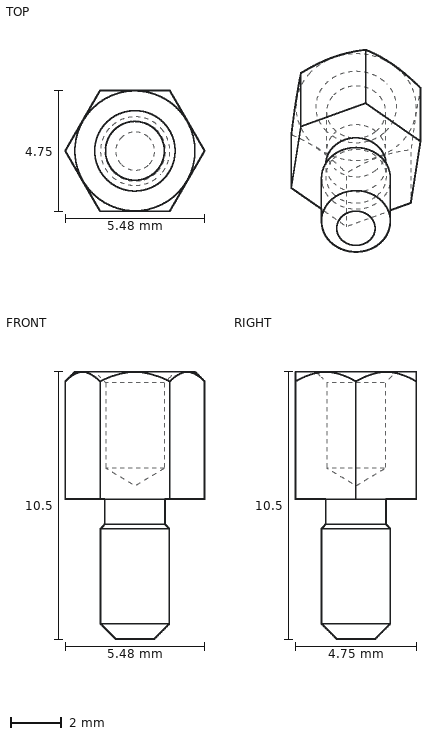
import cadquery as cq
import math

total_length = 10.5
hex_across_flats = 4.75
hex_height = 5.01

stud_diameter = 2.71
stud_tip_chamfer = 0.6
neck_diameter = 2.37
neck_length = 0.98
neck_taper_length = 0.19

top_face_diameter = 4.71
hole_diameter = 2.31
hole_depth = 3.78
drill_point_angle = 118.0
countersink_diameter = 3.16

shoulder_z = total_length - hex_height
hex_across_corners = hex_across_flats / math.cos(math.radians(30))


def revolve_profile(points):
    """Revolve a closed (radius, height) outline about the Z axis."""
    return cq.Workplane("XZ").polyline(points).close().revolve(360, (0, 0), (0, 1))


def make_hex_body():
    """Hexagon with corners on the X axis and a 45 degree conical top chamfer."""
    prism = (
        cq.Workplane("XY")
        .workplane(offset=shoulder_z)
        .polygon(6, hex_across_corners)
        .extrude(hex_height)
    )
    top_radius = top_face_diameter / 2
    envelope_radius = hex_across_corners
    chamfer_drop = envelope_radius - top_radius
    envelope = revolve_profile([
        (0, shoulder_z),
        (envelope_radius, shoulder_z),
        (envelope_radius, total_length - chamfer_drop),
        (top_radius, total_length),
        (0, total_length),
    ])
    return prism.intersect(envelope)


def make_stud():
    """Stud with a chamfered tip and a tapered step into the neck."""
    stud_radius = stud_diameter / 2
    neck_radius = neck_diameter / 2
    taper_top_z = shoulder_z - neck_length
    return revolve_profile([
        (0, 0),
        (stud_radius - stud_tip_chamfer, 0),
        (stud_radius, stud_tip_chamfer),
        (stud_radius, taper_top_z - neck_taper_length),
        (neck_radius, taper_top_z),
        (neck_radius, shoulder_z),
        (0, shoulder_z),
    ])


def make_hole():
    """Blind hole with a drill point and a 45 degree countersink."""
    hole_radius = hole_diameter / 2
    countersink_radius = countersink_diameter / 2
    countersink_depth = countersink_radius - hole_radius
    point_depth = hole_radius / math.tan(math.radians(drill_point_angle / 2))
    hole_floor_z = total_length - hole_depth
    return revolve_profile([
        (0, hole_floor_z - point_depth),
        (hole_radius, hole_floor_z),
        (hole_radius, total_length - countersink_depth),
        (countersink_radius, total_length),
        (0, total_length),
    ])


result = make_hex_body().union(make_stud()).cut(make_hole())